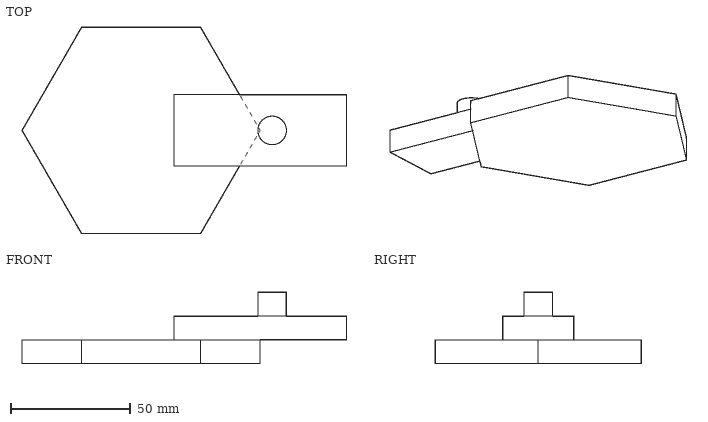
import cadquery as cq

hexagon_corner_diameter = 100.0
layer_thickness = 10.0

arm_length = 72.46
arm_width = 30.0
arm_center_x = hexagon_corner_diameter / 2

pin_diameter = 12.0
pin_height = 10.0
pin_center_x = 55.0

arm_bottom_z = layer_thickness
pin_bottom_z = arm_bottom_z + layer_thickness


def make_base():
    return cq.Workplane("XY").polygon(6, hexagon_corner_diameter).extrude(layer_thickness)


def make_arm():
    return (
        cq.Workplane("XY", origin=(arm_center_x, 0, arm_bottom_z))
        .rect(arm_length, arm_width)
        .extrude(layer_thickness)
    )


def make_pin():
    return (
        cq.Workplane("XY", origin=(pin_center_x, 0, pin_bottom_z))
        .circle(pin_diameter / 2)
        .extrude(pin_height)
    )


result = make_base().union(make_arm()).union(make_pin())